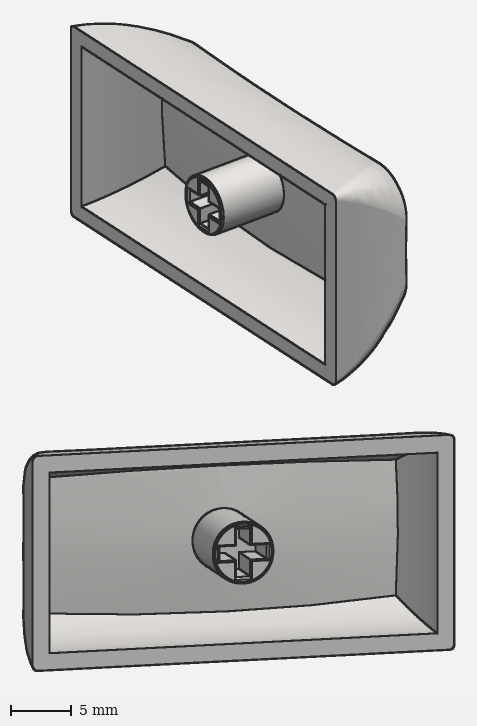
import cadquery as cq
import math

length = 36.0
height = 18.0
depth = 8.93
wall = 1.45

end_wall_radius = 21.6
side_wall_radius = 17.55

rim_corner_radius = 0.45
top_corner_radius = 3.95
blank_depth = 9.72
section_count = 7

dish_length_radius = 120.6
dish_height_radius = 57.6
dish_bottom = 7.78
dish_half_reach = 14.4
top_edge_fillet = 0.45

stem_diameter = 5.2
socket_span = 4.05
socket_slot = 1.22
socket_depth = 3.6
flare_depth = 0.15
flare_end = 0.2
flare_side = 0.1
stem_chamfer = 0.15


def lean(arc_radius, y):
    """Sideways drift of an arc after a run y from the point where it is square."""
    return arc_radius - math.sqrt(arc_radius**2 - y**2)


def rim_plane(y):
    """Plane parallel to the rim, with local axes X and Z and normal +Y."""
    return cq.Plane(origin=(0, y, 0), xDir=(1, 0, 0), normal=(0, 1, 0))


def skirt_section(y):
    """Rounded rectangle of the outside at distance y from the rim."""
    corner = rim_corner_radius + (top_corner_radius - rim_corner_radius) * y / depth
    section = cq.Sketch().rect(
        length - 2 * lean(end_wall_radius, y),
        height - 2 * lean(side_wall_radius, y),
    )
    return section.vertices().fillet(corner).moved(cq.Location(rim_plane(y)))


def dish_cutter(offset):
    """Barrel-shaped disc, turned about an axis along Z, that fills the space above the dish.

    A positive offset moves its surface towards the rim, parallel to the dish.
    """
    axis_y = dish_bottom + dish_length_radius
    bottom_y = dish_bottom - offset
    edge_y = bottom_y + lean(dish_height_radius + offset, dish_half_reach)
    return (
        cq.Workplane("YZ")
        .moveTo(axis_y, -dish_half_reach)
        .lineTo(edge_y, -dish_half_reach)
        .threePointArc((bottom_y, 0), (edge_y, dish_half_reach))
        .lineTo(axis_y, dish_half_reach)
        .close()
        .revolve(360, (axis_y, 0), (axis_y, 1))
    )


def arc_walled_bar(plane, half_width, wall_radius, bar_length):
    """Bar between two arc walls that close in with growing y."""
    mid_y = blank_depth / 2
    mid_width = half_width - lean(wall_radius, mid_y)
    top_width = half_width - lean(wall_radius, blank_depth)
    return (
        cq.Workplane(plane)
        .moveTo(-half_width, 0)
        .lineTo(half_width, 0)
        .threePointArc((mid_width, mid_y), (top_width, blank_depth))
        .lineTo(-top_width, blank_depth)
        .threePointArc((-mid_width, mid_y), (-half_width, 0))
        .close()
        .extrude(bar_length / 2, both=True)
    )


def outer_body():
    sections = [
        skirt_section(blank_depth * i / (section_count - 1))
        for i in range(section_count)
    ]
    blank = cq.Workplane("XY").placeSketch(*sections).loft()
    body = blank.cut(dish_cutter(0))
    return body.faces(">Y").edges().fillet(top_edge_fillet)


def cavity():
    """Sharp-cornered hollow, parallel to the outer walls and the dish."""
    length_plane = cq.Plane(origin=(0, 0, 0), xDir=(1, 0, 0), normal=(0, 0, 1))
    height_plane = cq.Plane(origin=(0, 0, 0), xDir=(0, 0, 1), normal=(-1, 0, 0))
    ends = arc_walled_bar(length_plane, length / 2 - wall, end_wall_radius - wall, height)
    sides = arc_walled_bar(height_plane, height / 2 - wall, side_wall_radius - wall, length)
    return ends.intersect(sides).cut(dish_cutter(wall))


def stem():
    """Round post from the rim plane to inside the top wall, chamfered at its free end."""
    post = cq.Workplane(rim_plane(0)).circle(stem_diameter / 2).extrude(dish_bottom - wall / 2)
    return post.faces("<Y").chamfer(stem_chamfer)


def socket_arm(span, slot):
    """One arm of the cross along X, with a flared mouth at the rim plane."""
    start = cq.Workplane(rim_plane(0))
    straight = start.rect(span, slot).extrude(socket_depth)
    flare = (
        start.rect(span + 2 * flare_end, slot + 2 * flare_side)
        .workplane(offset=flare_depth)
        .rect(span, slot)
        .loft()
    )
    return straight.union(flare)


def socket():
    arm = socket_arm(socket_span, socket_slot)
    return arm.union(arm.rotate((0, 0, 0), (0, 1, 0), 90))


result = outer_body().cut(cavity()).union(stem()).cut(socket())